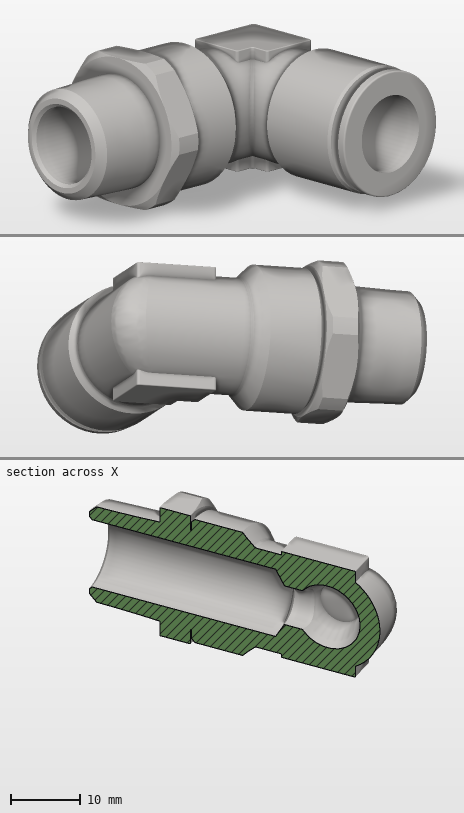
import cadquery as cq
import math


elbow_radius = 8.5
elbow_outer_fillet = 4.0
elbow_inner_fillet = 0.5
pad_outer = 4.55
pad_far = 7.5
pad_notch = 4.43
pad_height = 9.1
pad_corner = 0.45
pad_edge_fillet = 0.15

shoulder_fillet = 0.6
collar_radius = 10.6
collar_start = -13.75
collar_end = -22.1
collar_chamfer = 0.63

hex_sides = 6
hex_start = -22.15
hex_height = 5.0
hex_across_flats = 22.0
hex_corner_radius = 12.02
hex_chamfer_angle = math.radians(30)

stem_end = -38.6
thread_relief = 0.45
thread_taper = 1 / 32
thread_chamfer = 1.2

sleeve_radius = 9.5
sleeve_start = 12.7
sleeve_end = 25.65
sleeve_chamfer = 0.45
sleeve_chamfer_drop = 0.3
ring_neck_radius = 6.8
flange_radius = 9.35
flange_start = 27.22
socket_end = 28.48
flange_fillet = 0.25

stem_bore_radius = 5.7
stem_bore_chamfer = 0.5
throat_radius = 3.25
stem_bore_end = -8.4
throat_start = -6.97
tube_bore_radius = 5.75
tube_bore_end = 1.2
tube_cone_end = -4.35

collar_shoulder = collar_start + collar_radius - elbow_radius
sleeve_shoulder = sleeve_start - (sleeve_radius - elbow_radius)
hex_end = hex_start - hex_height
tolerance = 0.005


def turned(points, axis_end):
    """Solid of revolution about the line from the origin to axis_end."""
    return cq.Workplane("XY").polyline(points).close().revolve(360, (0, 0, 0), axis_end)


def along_y(profile):
    """Turn (y, radius) pairs about the stem axis."""
    points = [(radius, y) for y, radius in profile]
    return turned([(0, profile[0][0])] + points + [(0, profile[-1][0])], (0, 1, 0))


def along_x(profile):
    """Turn (x, radius) pairs about the socket axis."""
    return turned([(profile[0][0], 0)] + profile + [(profile[-1][0], 0)], (1, 0, 0))


def mitre_edges(body, side):
    """Edges in the plane x + y = 0 on the +X (side = 1) or -X (side = -1) side of the origin."""
    return [
        edge
        for edge in body.edges("%ELLIPSE").vals()
        if side * edge.Center().x > pad_notch / 2
        and abs(edge.Center().x + edge.Center().y) < tolerance
    ]


def pads():
    """L-shaped block that stands out above and below the elbow tube."""
    outline = [
        (-pad_outer, pad_outer),
        (pad_far, pad_outer),
        (pad_far, -pad_notch),
        (pad_notch, -pad_notch),
        (pad_notch, -pad_far),
        (-pad_outer, -pad_far),
    ]
    return (
        cq.Workplane("XY")
        .polyline(outline)
        .close()
        .extrude(pad_height, both=True)
        .edges("|Z")
        .fillet(pad_corner)
        .faces("|Z")
        .edges()
        .fillet(pad_edge_fillet)
    )


def elbow():
    """Mitred tube joining the two axes, with its pads and rounded mitre edges."""
    path = cq.Workplane("XY").moveTo(0, collar_start).lineTo(0, 0).lineTo(sleeve_start, 0)
    tube = (
        cq.Workplane("XZ", origin=(0, collar_start, 0))
        .circle(elbow_radius)
        .sweep(path, transition="right")
    )
    body = tube.union(pads())
    body = body.newObject(mitre_edges(body, -1)).fillet(elbow_outer_fillet)
    return body.newObject(mitre_edges(body, 1)).fillet(elbow_inner_fillet)


def collar():
    """Swivel collar with a 45 degree shoulder up to the elbow tube."""
    return along_y(
        [
            (collar_shoulder, elbow_radius),
            (collar_start, collar_radius),
            (collar_end + collar_chamfer, collar_radius),
            (collar_end, collar_radius - collar_chamfer),
        ]
    )


def tube_socket():
    """Sleeve, release ring neck and flange on the X axis."""
    sleeve = along_x(
        [
            (sleeve_shoulder, elbow_radius),
            (sleeve_start, sleeve_radius),
            (sleeve_end - sleeve_chamfer, sleeve_radius),
            (sleeve_end, sleeve_radius - sleeve_chamfer_drop),
        ]
    )
    neck = along_x([(sleeve_start, ring_neck_radius), (flange_start, ring_neck_radius)])
    flange = along_x([(flange_start, flange_radius), (socket_end, flange_radius)])
    flange = flange.faces(">X").edges().fillet(flange_fillet)
    return sleeve.union(neck).union(flange)


def hexagon():
    """Hexagon with flats facing +Z and -Z, its corners turned down and chamfered on both faces."""
    flat_radius = hex_across_flats / 2
    chamfer = (hex_corner_radius - flat_radius) * math.tan(hex_chamfer_angle)
    prism = (
        cq.Workplane("XZ", origin=(0, hex_start, 0))
        .polygon(hex_sides, hex_across_flats, circumscribed=True)
        .extrude(hex_height)
        .rotate((0, 0, 0), (0, 1, 0), 180 / hex_sides)
    )
    envelope = along_y(
        [
            (hex_start, flat_radius),
            (hex_start - chamfer, hex_corner_radius),
            (hex_end + chamfer, hex_corner_radius),
            (hex_end, flat_radius),
        ]
    )
    return prism.intersect(envelope)


def threaded_end():
    """Tapered thread blank, with the core that ties it, the hexagon and the collar together."""
    taper_start = hex_end - thread_relief
    chamfer_start = stem_end + thread_chamfer
    small_radius = elbow_radius - (taper_start - chamfer_start) * thread_taper
    return along_y(
        [
            (collar_start, elbow_radius),
            (taper_start, elbow_radius),
            (chamfer_start, small_radius),
            (stem_end, small_radius - thread_chamfer),
        ]
    )


def stem_passage():
    """Stem bore, narrowing through a cone to the throat that opens into the tube bore."""
    return along_y(
        [
            (stem_end, stem_bore_radius + stem_bore_chamfer),
            (stem_end + stem_bore_chamfer, stem_bore_radius),
            (stem_bore_end, stem_bore_radius),
            (throat_start, throat_radius),
            (0, throat_radius),
        ]
    )


def tube_passage():
    """Tube bore with a conical inner end."""
    return along_x(
        [
            (socket_end, tube_bore_radius),
            (tube_bore_end, tube_bore_radius),
            (tube_cone_end, throat_radius),
        ]
    )


body = elbow().union(collar()).union(tube_socket())
shoulder_edges = [
    edge
    for edge in body.edges("%CIRCLE").vals()
    if abs(edge.Center().y - collar_shoulder) < tolerance
    or abs(edge.Center().x - sleeve_shoulder) < tolerance
]
body = body.newObject(shoulder_edges).fillet(shoulder_fillet)
body = body.union(hexagon()).union(threaded_end())
result = body.cut(stem_passage()).cut(tube_passage())